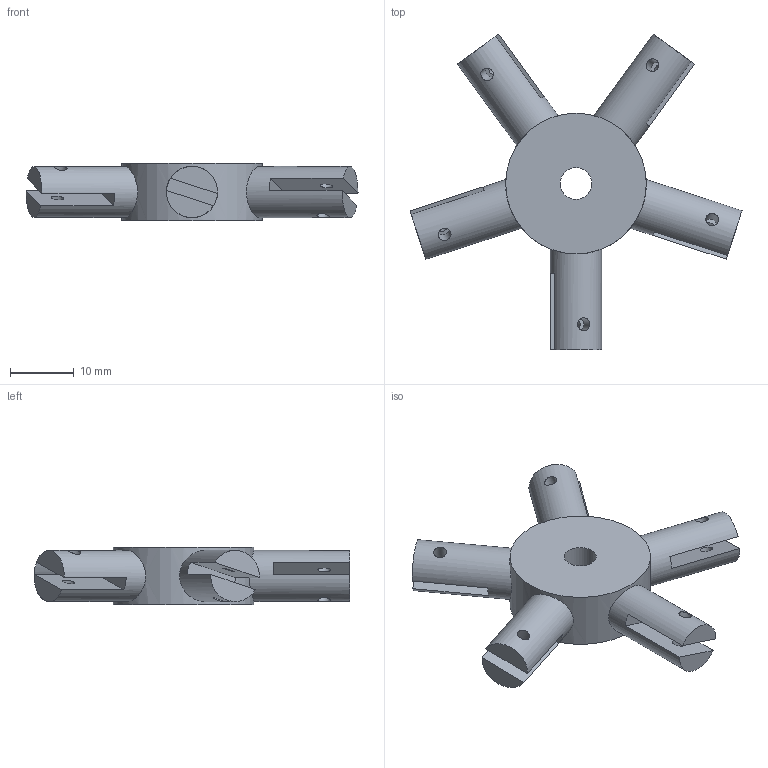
import cadquery as cq

HUB_DIAMETER = 22.0
HUB_HEIGHT = 9.0
BORE_DIAMETER = 4.98

ARM_COUNT = 5
ARM_DIAMETER = 8.0
ARM_REACH = 26.0

SLOT_WIDTH = 2.0
SLOT_DEPTH = 12.0
TWIST_ANGLE = 18.0
PIN_DIAMETER = 2.0
PIN_TO_TIP = 4.0

CUT_LENGTH = 2 * ARM_DIAMETER


def make_hub():
    """Solid disc; the bore is cut once the arms are joined."""
    return cq.Workplane("XY").circle(HUB_DIAMETER / 2).extrude(HUB_HEIGHT / 2, both=True)


def make_bore():
    return cq.Workplane("XY").circle(BORE_DIAMETER / 2).extrude(HUB_HEIGHT, both=True)


def make_tip_cuts():
    """Slot and pin hole for the arm along -Y, twisted about the arm axis."""
    slot = cq.Workplane("XY").box(CUT_LENGTH, SLOT_DEPTH, SLOT_WIDTH)
    slot = slot.translate((0, -ARM_REACH + SLOT_DEPTH / 2, 0))
    pin_hole = cq.Workplane("XY").circle(PIN_DIAMETER / 2).extrude(CUT_LENGTH / 2, both=True)
    pin_hole = pin_hole.translate((0, -ARM_REACH + PIN_TO_TIP, 0))
    return slot.union(pin_hole).rotate((0, 0, 0), (0, 1, 0), TWIST_ANGLE)


def make_arm():
    """Arm running from the hub axis along -Y."""
    rod = cq.Workplane("XZ").circle(ARM_DIAMETER / 2).extrude(ARM_REACH)
    return rod.cut(make_tip_cuts())


body = make_hub()
arm = make_arm()
for index in range(ARM_COUNT):
    body = body.union(arm.rotate((0, 0, 0), (0, 0, 1), index * 360 / ARM_COUNT))

result = body.cut(make_bore())